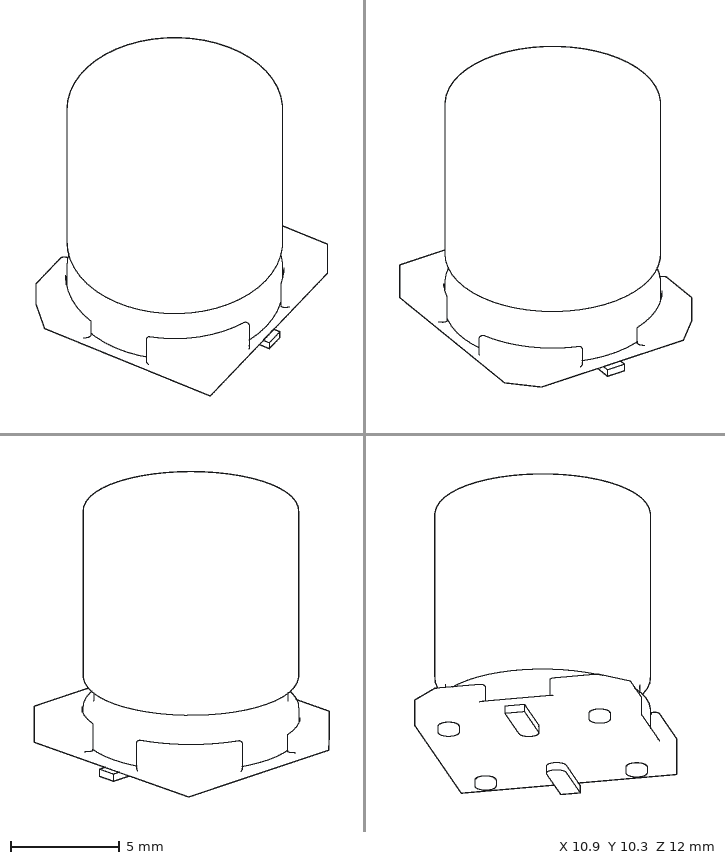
import cadquery as cq

total_height = 12.0
lead_span = 10.9

can_radius = 10.0 / 2
neck_radius = 9.0 / 2
can_round = 0.2
groove_bottom = 2.33
groove_top = 3.52

base_side = 10.3
base_bottom = 0.36
floor_height = 0.83
low_post_top = 1.68
tall_post_top = 2.17
corner_chamfer = 1.25
pocket_radius = 5.05
notch_half_width = 1.55
post_nose_round = 0.24
edge_round = 0.05

foot_diameter = 1.0
foot_offset = 3.6
lead_width = 0.94
lead_inner_end = 2.25

half_base = base_side / 2
post_root = (base_bottom + floor_height) / 2


def make_can():
    """Revolved can with a rounded rim and a rolled groove near the bottom."""
    r = can_round
    shoulder_radius = can_radius - r
    fillet_radius = neck_radius + r
    diag = r * (1 - 0.5 ** 0.5)
    profile = (
        cq.Workplane("XZ")
        .moveTo(0, floor_height)
        .lineTo(can_radius, floor_height)
        .lineTo(can_radius, groove_bottom - r)
        .threePointArc((can_radius - diag, groove_bottom - diag), (shoulder_radius, groove_bottom))
        .lineTo(fillet_radius, groove_bottom)
        .threePointArc((neck_radius + diag, groove_bottom + diag), (neck_radius, groove_bottom + r))
        .lineTo(neck_radius, groove_top - r)
        .threePointArc((neck_radius + diag, groove_top - diag), (fillet_radius, groove_top))
        .lineTo(shoulder_radius, groove_top)
        .threePointArc((can_radius - diag, groove_top + diag), (can_radius, groove_top + r))
        .lineTo(can_radius, total_height - r)
        .threePointArc((can_radius - diag, total_height - diag), (shoulder_radius, total_height))
        .lineTo(0, total_height)
        .close()
    )
    return profile.revolve(360, (0, 0, 0), (0, 1, 0))


def base_block(bottom, top):
    """Square block with the two -X corners cut off and the upright edges rounded."""
    return (
        cq.Workplane("XY")
        .workplane(offset=bottom)
        .rect(base_side, base_side)
        .extrude(top - bottom)
        .edges("|Z and <X")
        .chamfer(corner_chamfer)
        .edges("|Z")
        .fillet(edge_round)
    )


def make_post(x_side, y_side, top):
    """Corner post bounded by the notches and the clearance bore, with rounded noses."""
    height = top - post_root
    quadrant_size = half_base - notch_half_width
    quadrant_centre = notch_half_width + quadrant_size / 2
    quadrant = (
        cq.Workplane("XY")
        .workplane(offset=post_root)
        .center(x_side * quadrant_centre, y_side * quadrant_centre)
        .rect(quadrant_size, quadrant_size)
        .extrude(height)
    )
    bore = cq.Workplane("XY").workplane(offset=post_root).circle(pocket_radius).extrude(height)
    post = base_block(post_root, top).intersect(quadrant).cut(bore)

    wall_corner = (notch_half_width, half_base)
    bore_reach = (pocket_radius ** 2 - notch_half_width ** 2) ** 0.5
    bore_corner = (notch_half_width, bore_reach)
    for (short, long), radius in ((wall_corner, post_nose_round), (bore_corner, edge_round)):
        for x, y in ((short, long), (long, short)):
            point = (x_side * x, y_side * y, (post_root + top) / 2)
            post = post.edges(cq.selectors.NearestToPointSelector(point)).fillet(radius)
    return post.faces(">Z").edges().fillet(edge_round)


def make_base():
    """Thin plate with rounded edges and four corner posts."""
    base = base_block(base_bottom, floor_height).faces(">Z or <Z").edges().fillet(edge_round)
    for x_side, top in ((-1, low_post_top), (1, tall_post_top)):
        for y_side in (-1, 1):
            base = base.union(make_post(x_side, y_side, top))
    return base


def make_feet():
    """Four round feet with rounded rims."""
    return (
        cq.Workplane("XY")
        .rect(2 * foot_offset, 2 * foot_offset, forConstruction=True)
        .vertices()
        .circle(foot_diameter / 2)
        .extrude(base_bottom)
        .faces("<Z or >Z")
        .edges()
        .fillet(edge_round)
    )


def make_lead(side):
    """Flat strip under the base with a full-round inner end."""
    half_width = lead_width / 2
    outer_x = side * lead_span / 2
    round_start_x = side * (lead_inner_end + half_width)
    return (
        cq.Workplane("XY")
        .moveTo(outer_x, -half_width)
        .lineTo(round_start_x, -half_width)
        .threePointArc((side * lead_inner_end, 0), (round_start_x, half_width))
        .lineTo(outer_x, half_width)
        .close()
        .extrude(base_bottom)
    )


result = make_base().union(make_can()).union(make_feet())
for lead_side in (-1, 1):
    result = result.union(make_lead(lead_side))